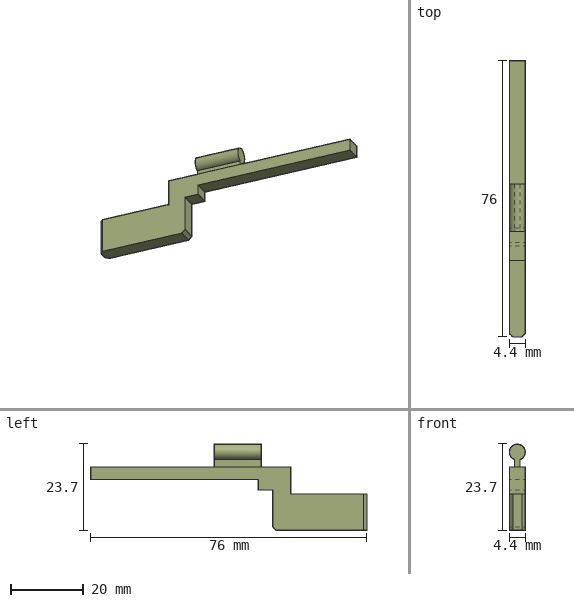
import cadquery as cq

length = 76.0
width = 4.4
total_height = 23.7

bar_top = 17.5
bar_thickness = 3.5
nose_height = 10.0
nose_shoulder = 21.0
upright_back = 26.0
step_back = 29.95
step_bottom = 11.1
corner_chamfer = 1.0

rail_start = 29.0
rail_length = 13.0
rail_radius = width / 2
rail_center_height = total_height - rail_radius
web_width = 1.6


def make_body():
    bar_bottom = bar_top - bar_thickness
    body = (
        cq.Workplane("YZ")
        .moveTo(0, 0)
        .lineTo(upright_back - corner_chamfer, 0)
        .lineTo(upright_back, corner_chamfer)
        .lineTo(upright_back, step_bottom)
        .lineTo(step_back, step_bottom)
        .lineTo(step_back, bar_bottom)
        .lineTo(length, bar_bottom)
        .lineTo(length, bar_top)
        .lineTo(nose_shoulder, bar_top)
        .lineTo(nose_shoulder, nose_height)
        .lineTo(0, nose_height)
        .close()
        .extrude(width / 2, both=True)
    )
    return body.faces("<Y").edges("|Z").chamfer(corner_chamfer)


def make_rail():
    rod = (
        cq.Workplane("XZ", origin=(0, rail_start, rail_center_height))
        .circle(rail_radius)
        .extrude(-rail_length)
    )
    web = cq.Workplane("XY", origin=(0, rail_start, bar_top)).box(
        web_width,
        rail_length,
        rail_center_height - bar_top,
        centered=(True, False, False),
    )
    return rod.union(web)


result = make_body().union(make_rail())